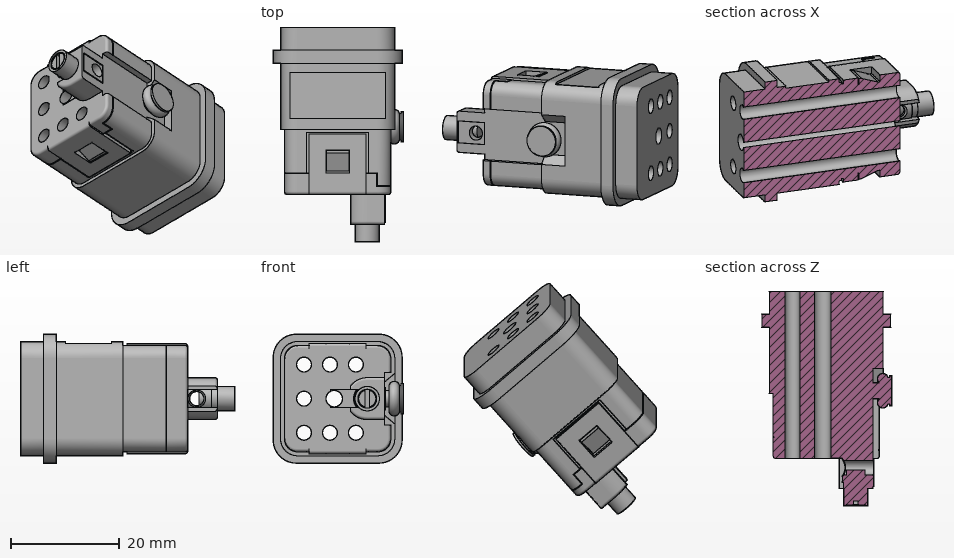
import cadquery as cq
import math


back_y = 30.8
flange_back_y = 26.62
flange_front_y = 24.2
sleeve_front_y = 11.95
flange_side, flange_radius = 23.8, 4.35
sleeve_side, sleeve_radius = 21.05, 3.12
body_side, body_radius = 19.6, 2.37
front_rounding = 0.5

label_width, label_depth = 17.58, 0.4
label_front_y, label_back_y = 14.05, 22.5

latch_width, latch_top_z, latch_back_y = 10.45, 10.15, 11.2
latch_root_z = 8.7
latch_gap_side, latch_gap_back, latch_gap_depth = 0.47, 0.25, 0.4
window_width, window_front_y, window_back_y = 4.4, 4.0, 8.25
window_clearance = 0.1
window_ledge_back, window_ledge_front = 0.6, 0.4
window_shallow, window_deep = 0.15, 1.35

seam_y, seam_width, seam_depth = 3.9, 0.1, 0.1
seam_corner_x, seam_corner_y = 7.3, 1.55

contact_radius, contact_pitch_x, contact_pitch_z = 1.35, 4.78, 6.3
contact_first_x = -6.2
center_hole_x, center_hole_radius = -0.65, 1.5
wire_groove_start_x, wire_groove_depth = -1.35, 0.08

clamp_axis_x = 5.45
clamp_left_x, clamp_right_x = 2.37, 8.65
clamp_radius, clamp_length = 3.87, 5.5
slot_width = 3.3
terminal_radius, terminal_length, terminal_root_y = 2.53, 4.35, 0.4
tube_radius = 2.25
tip_y = back_y - 39.5
tube_collar_radius = 2.35
screw_radius, screw_recess, screw_chamfer, screw_end_y = 1.75, 0.08, 0.15, -2.05
driver_slot_width, driver_slot_depth = 0.75, 0.8
wire_hole_y, wire_hole_radius, wire_mouth_chamfer = -1.65, 1.3, 0.3
side_plate_thickness, side_plate_width, side_plate_length = 0.15, 4.1, 5.15

pocket_floor_half, pocket_mouth_half = 3.1, 4.65
pocket_back_y = 16.6
body_notch_half = 4.85
button_y, button_end_x = 12.52, 12.13
head_radius, head_thickness = 2.8, 0.45
neck_radius, collar_radius = 1.5, 2.45
ring_outer_radius, ring_tube_radius, ring_center_x = 3.2, 1.0, 10.43


def box(x0, x1, y0, y1, z0, z1):
    """Block between two opposite corners."""
    return cq.Workplane("XY").box(x1 - x0, y1 - y0, z1 - z0, centered=False).translate((x0, y0, z0))


def rounded_prism(side, radius, y0, y1):
    """Square prism along Y with rounded corners."""
    block = box(-side / 2, side / 2, y0, y1, -side / 2, side / 2)
    return block.edges("|Y").fillet(radius)


def rod_y(x, z, radius, y0, y1):
    """Cylinder along Y."""
    return cq.Workplane(cq.Solid.makeCylinder(radius, y1 - y0, cq.Vector(x, y0, z), cq.Vector(0, 1, 0)))


def rod_x(y, radius, x0, x1):
    """Cylinder along X at mid height."""
    return cq.Workplane(cq.Solid.makeCylinder(radius, x1 - x0, cq.Vector(x0, y, 0), cq.Vector(1, 0, 0)))


def both_sides(top):
    """The top feature together with its mirror image below."""
    return top.union(top.mirror("XY"))


def housing():
    body = rounded_prism(body_side, body_radius, 0, back_y).faces("<Y").edges().fillet(front_rounding)
    sleeve = rounded_prism(sleeve_side, sleeve_radius, sleeve_front_y, back_y)
    flange = rounded_prism(flange_side, flange_radius, flange_front_y, flange_back_y)
    label = box(-label_width / 2, label_width / 2, label_front_y, label_back_y,
                sleeve_side / 2 - label_depth, sleeve_side / 2)
    return body.union(sleeve).union(flange).cut(label)


def seam_ring(y):
    """Shallow groove around the body, starting at y."""
    outer = rounded_prism(body_side, body_radius, y, y + seam_width)
    core_radius = body_radius - seam_depth
    return outer.cut(rounded_prism(body_side - 2 * seam_depth, core_radius, y, y + seam_width))


def cap_seam():
    """The seam steps forward at the two corners on the +X side."""
    half = body_side / 2
    main = seam_ring(seam_y).intersect(box(-half, seam_corner_x, 0, back_y, -half, half))
    corner = seam_ring(seam_corner_y).intersect(box(seam_corner_x, half, 0, back_y, -half, half))
    step = box(seam_corner_x - seam_width, seam_corner_x, seam_corner_y, seam_y + seam_width,
               half - seam_depth, half)
    return main.union(corner).union(both_sides(step))


def latch_gap():
    half = latch_width / 2 + latch_gap_side
    return box(-half, half, seam_y + seam_width, latch_back_y + latch_gap_back,
               body_side / 2 - latch_gap_depth, latch_top_z)


def latch():
    half = latch_width / 2
    block = box(-half, half, 0, latch_back_y, latch_root_z, latch_top_z)
    return block.edges("<Y and >Z").fillet(front_rounding)


def latch_window():
    """Square window with a ramp inside that falls toward the front, clear of the sides and back."""
    half = window_width / 2
    floor_z = latch_top_z - window_deep
    ramp_top_z = latch_top_z - window_shallow
    ramp_back_y = window_back_y - window_clearance
    opening = box(-half, half, window_front_y, window_back_y, floor_z, latch_top_z)
    profile = [
        (window_front_y + window_ledge_front, floor_z),
        (ramp_back_y, floor_z),
        (ramp_back_y, ramp_top_z),
        (window_back_y - window_ledge_back, ramp_top_z),
    ]
    ramp = cq.Workplane("YZ").polyline(profile).close().extrude(half - window_clearance, both=True)
    return opening.cut(ramp)


def earth_pocket():
    """Pocket with flared walls in the sleeve, opening into a wider notch in the body."""
    mouth_x = sleeve_side / 2
    profile = [
        (clamp_right_x, -pocket_floor_half),
        (mouth_x, -pocket_mouth_half),
        (mouth_x, pocket_mouth_half),
        (clamp_right_x, pocket_floor_half),
    ]
    flare = cq.Workplane("XZ").polyline(profile).close().extrude(-pocket_back_y)
    notch = box(clamp_right_x, mouth_x, 0, sleeve_front_y, -body_notch_half, body_notch_half)
    return flare.union(notch)


def earth_button():
    """Screw head with a round ring behind it, standing on the pocket floor."""
    head_back_x = button_end_x - head_thickness
    neck = rod_x(button_y, neck_radius, clamp_right_x, ring_center_x)
    collar = rod_x(button_y, collar_radius, ring_center_x, head_back_x)
    head = rod_x(button_y, head_radius, head_back_x, button_end_x)
    ring = cq.Workplane(cq.Solid.makeTorus(ring_outer_radius - ring_tube_radius, ring_tube_radius,
                                           cq.Vector(ring_center_x, button_y, 0), cq.Vector(1, 0, 0)))
    return neck.union(collar).union(head).union(ring)


def clamp_block():
    """D-shaped block with its round side cut flat and slotted for the wire."""
    outline = (
        cq.Workplane("XZ")
        .moveTo(clamp_right_x, clamp_radius)
        .lineTo(clamp_axis_x, clamp_radius)
        .threePointArc((clamp_axis_x - clamp_radius, 0), (clamp_axis_x, -clamp_radius))
        .lineTo(clamp_right_x, -clamp_radius)
        .close()
    )
    block = outline.extrude(clamp_length).faces("<Y").edges("not(>X)").fillet(front_rounding)
    block = block.intersect(box(clamp_left_x, clamp_right_x, -clamp_length, 0, -clamp_radius, clamp_radius))
    slot = box(clamp_left_x, clamp_axis_x, -clamp_length, 0, -slot_width / 2, slot_width / 2)
    plate = box(clamp_right_x, clamp_right_x + side_plate_thickness, -side_plate_length, 0,
                -side_plate_width / 2, side_plate_width / 2)
    return block.cut(slot).union(plate)


def terminal():
    """Round terminal inside the block, with its wire entry chamfered and the screw tube in front."""
    base = rod_y(clamp_axis_x, 0, terminal_radius, -terminal_length, terminal_root_y).cut(wire_hole())
    base = base.edges("not(|Y)").edges("<X").chamfer(wire_mouth_chamfer)
    collar = rod_y(clamp_axis_x, 0, tube_collar_radius, -clamp_length, -terminal_length)
    tube = rod_y(clamp_axis_x, 0, tube_radius, tip_y, -terminal_length)
    return base.union(collar).union(tube).cut(screw_face())


def screw_face():
    """Shallow recess at the tip of the tube, down to the chamfered end of the screw."""
    bottom_y = tip_y + screw_recess + screw_chamfer
    recess = rod_y(clamp_axis_x, 0, screw_radius, tip_y, bottom_y)
    head = cq.Solid.makeCone(screw_radius, screw_radius - screw_chamfer, screw_chamfer,
                             cq.Vector(clamp_axis_x, bottom_y, 0), cq.Vector(0, -1, 0))
    return recess.cut(cq.Workplane(head))


def wire_hole():
    """Hole along X through the clamp."""
    return rod_x(wire_hole_y, wire_hole_radius, clamp_left_x, clamp_right_x + side_plate_thickness)


def screw_end():
    """End of the clamping screw, reaching into the wire hole."""
    return rod_y(clamp_axis_x, 0, screw_radius, -terminal_length, screw_end_y)


def driver_slot():
    half = driver_slot_width / 2
    reach = screw_radius * math.cos(math.asin(half / screw_radius))
    slot_y = tip_y + screw_recess
    return box(clamp_axis_x - half, clamp_axis_x + half, slot_y, slot_y + driver_slot_depth, -reach, reach)


def face_holes():
    """Contact holes in two rows of three plus one at mid height, and the central hole."""
    holes = rod_y(center_hole_x, 0, center_hole_radius, 0, back_y)
    centers = [(contact_first_x, 0)]
    for column in range(3):
        for side in (-1, 1):
            centers.append((contact_first_x + column * contact_pitch_x, side * contact_pitch_z))
    for x, z in centers:
        holes = holes.union(rod_y(x, z, contact_radius, 0, back_y))
    return holes


def wire_groove():
    """Shallow groove in the front face, leading from the central hole to the terminal."""
    groove = box(wire_groove_start_x, clamp_axis_x, 0, wire_groove_depth, -slot_width / 2, slot_width / 2)
    return groove.cut(rod_y(clamp_axis_x, 0, terminal_radius, 0, wire_groove_depth))


result = housing().cut(cap_seam())
result = result.cut(both_sides(latch_gap()))
result = result.union(both_sides(latch())).cut(both_sides(latch_window()))
result = result.cut(earth_pocket()).union(earth_button())
result = result.cut(face_holes()).cut(wire_groove())

clamp = clamp_block().union(terminal()).cut(wire_hole()).union(screw_end()).cut(driver_slot())
result = result.union(clamp)